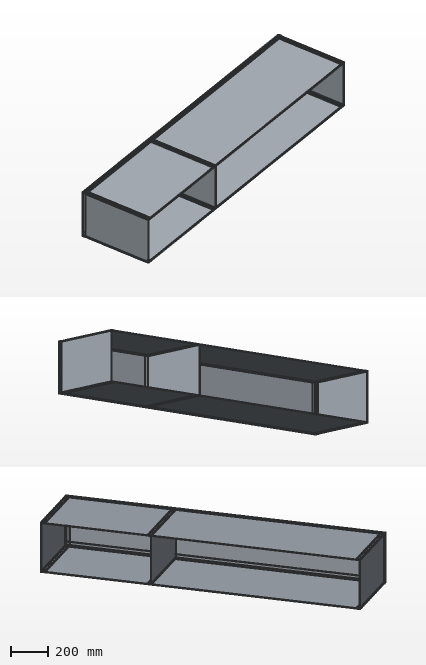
import cadquery as cq

depth = 432.0
length = 1802.0
height = 283.0

sheet = 0.8
flange = 20.0
divider_y = -280.0
clearance = 1.3

front_x = -depth / 2
back_x = depth / 2
outer_y = length / 2
outer_z = height / 2


def block(x_range, y_range, z_range):
    """Rectangular block given by its limits along each axis."""
    lows, highs = zip(x_range, y_range, z_range)
    sizes = [high - low for low, high in zip(lows, highs)]
    return cq.Workplane("XY").box(*sizes, centered=False).translate(lows)


def nested(layers):
    """Front and top limits that lie a number of sheets inside the outer ones."""
    inset = layers * sheet
    return front_x + inset, outer_z - inset


cover_inner_x, cover_inner_z = nested(1)
end_inner_x, end_inner_z = nested(2)
panel_inner_x, panel_inner_z = nested(3)
divider_inner_x, divider_inner_z = nested(4)

cover_inner_y = outer_y - sheet
end_outer_y = {-1: -cover_inner_y, 1: cover_inner_y - clearance}
panel_y_range = (end_outer_y[-1] + sheet, end_outer_y[1] - sheet)


def cover():
    """Shallow pan that closes the -X side, its rim folded around the other parts."""
    pan = block((front_x, front_x + flange), (-outer_y, outer_y), (-outer_z, outer_z))
    inside = block(
        (cover_inner_x, back_x),
        (-cover_inner_y, cover_inner_y),
        (-cover_inner_z, cover_inner_z),
    )
    return pan.cut(inside)


def end_panel(side):
    """End sheet at -Y (side -1) or +Y (side 1), flanged inward at front, top and bottom."""
    y_range = sorted((end_outer_y[side], end_outer_y[side] - side * flange))
    pan = block((cover_inner_x, back_x), y_range, (-cover_inner_z, cover_inner_z))
    inside = block(
        (end_inner_x, back_x),
        panel_y_range,
        (-end_inner_z, end_inner_z),
    )
    return pan.cut(inside)


def top_panel():
    """Flat sheet under the top flanges of the end panels."""
    return block(
        (end_inner_x, back_x),
        panel_y_range,
        (panel_inner_z, end_inner_z),
    )


def bottom_panel():
    """Sheet on the bottom flanges of the end panels, with its front edge folded up."""
    flange_top_z = -cover_inner_z + flange
    angle = block(
        (end_inner_x, back_x),
        panel_y_range,
        (-end_inner_z, flange_top_z),
    )
    inside = block(
        (panel_inner_x, back_x),
        panel_y_range,
        (-panel_inner_z, flange_top_z),
    )
    return angle.cut(inside)


def divider():
    """Upright sheet across the cabinet, flanged toward -Y at front, top and bottom."""
    y_range = (divider_y - flange, divider_y)
    pan = block((panel_inner_x, back_x), y_range, (-panel_inner_z, panel_inner_z))
    inside = block(
        (divider_inner_x, back_x),
        (divider_y - flange, divider_y - sheet),
        (-divider_inner_z, divider_inner_z),
    )
    return pan.cut(inside)


end_panels = [end_panel(side) for side in (-1, 1)]

result = cq.Compound.makeCompound([
    cover().val(),
    *[panel.val() for panel in end_panels],
    top_panel().val(),
    bottom_panel().val(),
    divider().val(),
])